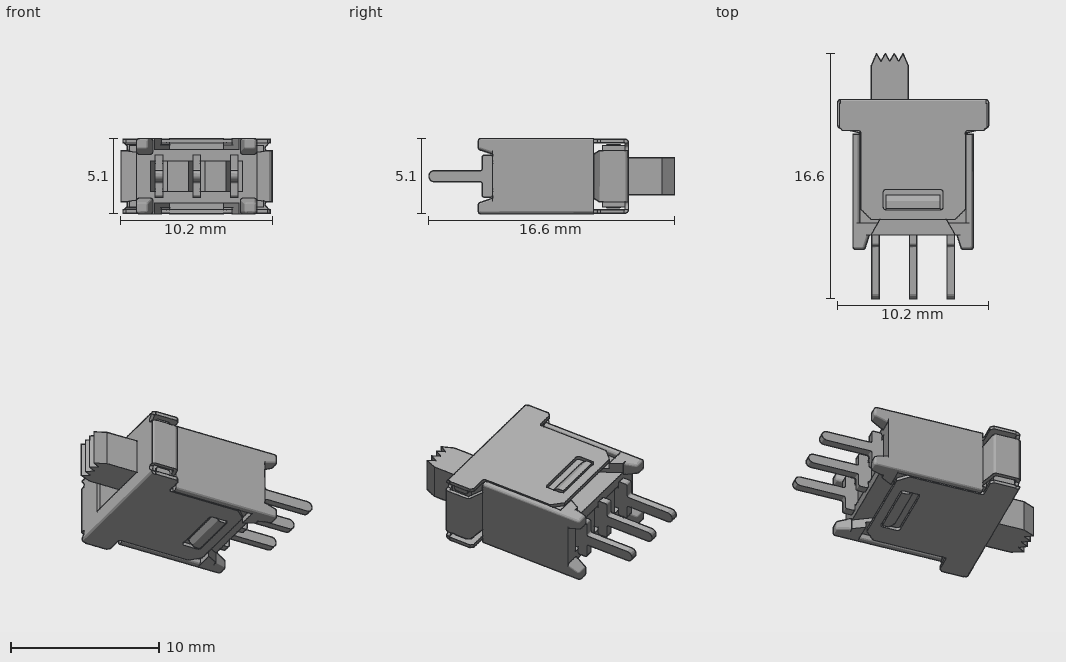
import cadquery as cq
import math

selection_margin = 0.02

sheet = 0.25
cover_half_height = 2.5
cover_inner_half_height = cover_half_height - sheet
wing_half_width = 4.96
wing_end_y = -2.1
wing_chamfer = 0.2
tongue_half_width = 3.53
tongue_end_y = -8.1
tongue_chamfer = 0.7
tongue_root_radius = 0.17
flap_half_width = 5.1
flap_half_height = 1.72
flap_bend_y = -1.72
flap_slope = math.radians(13)
flap_tip_x = 3.31
flap_tip_half_height = 1.5
relief_x = 4.82
relief_z = 1.89
relief_radius = 0.2
bend_half_width = 4.92
bend_trim_y = -0.3
window_half_width = 2.02
window_front_y = -6.07
window_rear_y = -7.45
window_radius = 0.2

lever_width = 2.5
lever_x = -1.57
lever_shoulder_y = 2.27
tooth_tip_y = 3.1
tooth_valley_y = 2.57
tooth_pitch = 0.6
tooth_count = 4
lever_inner_y = -1.52
lever_slot_half_width = lever_width / 2 - lever_x

housing_half_width = 4.05
housing_half_height = 2.55
housing_front_y = -2.35
housing_rear_y = -9.15
housing_fillet = 0.2
flange_half_width = 4.52
flange_half_height = 2.09
flange_rear_y = -1.77
neck_half_width = 3.23
neck_half_height = 1.49
pocket_half_width = 3.57
pocket_rear_y = -8.34
pocket_floor_z = 2.12
pocket_rim_radius = 0.2
channel_floor_z = 1.79
channel_rear_half_width = 2.85
latch_half_width = 1.82
latch_front_y = -6.45
latch_rear_y = -7.36
latch_fillet = 0.36
foot_tip_y = -10.13
foot_inner_x = 2.95
foot_inner_z = 1.47
foot_tip_inner_x = 3.26
foot_tip_inner_z = 1.8
groove_depth = 0.33
groove_half_width = 0.56
groove_half_height = 1.03
recess_depth = 0.1

pin_pitch = 2.53
pin_count = 3
pin_width = 0.51
pin_root_half_height = 0.86
pin_root_y = -7.5
pin_bar_half_height = 1.42
pin_bar_end_y = -9.86
pin_bar_fillet = 0.15
pin_leg_half_height = 0.38
pin_leg_fillet = 0.13
pin_tip_y = -13.45

bar_end_x = -4.68
bar_front_y = -0.51
bar_rear_y = -1.52
bar_inner_z = 1.69
bar_outer_z = 2.13
bar_fillet = 0.13


def block(x_range, y_range, z_range):
    """Box between the given limits."""
    spans = [limits[1] - limits[0] for limits in (x_range, y_range, z_range)]
    return cq.Workplane().box(*spans, centered=False).translate((x_range[0], y_range[0], z_range[0]))


def symmetric_block(half_width, y_range, half_height):
    """Box centred on X = 0 and Z = 0."""
    return block((-half_width, half_width), y_range, (-half_height, half_height))


def with_mirror(shape, plane):
    """The shape together with its mirror image."""
    return shape.union(shape.mirror(plane))


def xy_prism(points, z_range):
    """Closed XY outline raised between two heights."""
    outline = cq.Workplane("XY").workplane(offset=z_range[0]).polyline(points).close()
    return outline.extrude(z_range[1] - z_range[0])


def pin_positions():
    return [(index - (pin_count - 1) / 2) * pin_pitch for index in range(pin_count)]


def cover_plates():
    """Front plate with the top and bottom plates, each a tee with a chamfered tongue."""
    right_side = [
        (wing_half_width, 0),
        (wing_half_width, wing_end_y + wing_chamfer),
        (wing_half_width - wing_chamfer, wing_end_y),
        (tongue_half_width, wing_end_y),
        (tongue_half_width, tongue_end_y + tongue_chamfer),
        (tongue_half_width - tongue_chamfer, tongue_end_y),
    ]
    left_side = [(-x, y) for x, y in reversed(right_side)]
    plates = xy_prism(right_side + left_side, (-cover_half_height, cover_half_height))
    root = cq.selectors.BoxSelector(
        (-tongue_half_width - selection_margin, wing_end_y - selection_margin, -selection_margin),
        (tongue_half_width + selection_margin, wing_end_y + selection_margin, selection_margin),
    )
    plates = plates.edges("|Z").edges(root).fillet(tongue_root_radius)
    plates = plates.faces(">Y").edges("|X").fillet(sheet)
    inside = symmetric_block(wing_half_width, (tongue_end_y, -sheet), cover_inner_half_height)
    trim = block((bend_half_width, wing_half_width), (bend_trim_y, 0), (relief_z, cover_half_height))
    return plates.cut(inside).cut(with_mirror(with_mirror(trim, "YZ"), "XY"))


def side_flap():
    """Flap on the +X side: bent back from the front plate, then curled inward behind the flange."""
    bend_x = flap_half_width - sheet
    turn = math.pi / 2 - flap_slope
    bend_end = (bend_x + sheet * math.cos(turn), flap_bend_y - sheet * math.sin(turn))
    bend_middle = (bend_x + sheet * math.cos(turn / 2), flap_bend_y - sheet * math.sin(turn / 2))
    tip_y = bend_end[1] - (bend_end[0] - flap_tip_x) * math.tan(flap_slope)
    corner = sheet * math.sqrt(0.5)
    flap = (
        cq.Workplane("XY")
        .workplane(offset=-flap_half_height)
        .moveTo(flap_tip_x, 0)
        .lineTo(bend_x, 0)
        .threePointArc((bend_x + corner, corner - sheet), (flap_half_width, -sheet))
        .lineTo(flap_half_width, flap_bend_y)
        .threePointArc(bend_middle, bend_end)
        .lineTo(flap_tip_x, tip_y)
        .lineTo(flap_tip_x, tip_y + sheet / math.cos(flap_slope))
        .lineTo(bend_x, flap_bend_y)
        .lineTo(bend_x, -sheet)
        .lineTo(flap_tip_x, -sheet)
        .close()
        .extrude(2 * flap_half_height)
    )
    curl_envelope = (
        cq.Workplane("XZ")
        .polyline([
            (flap_half_width, -flap_half_height),
            (bend_x, -flap_half_height),
            (flap_tip_x, -flap_tip_half_height),
            (flap_tip_x, flap_tip_half_height),
            (bend_x, flap_half_height),
            (flap_half_width, flap_half_height),
        ])
        .close()
        .extrude(-tip_y)
    )
    return flap.intersect(curl_envelope)


def corner_relief():
    """Round-bottomed notch in the front plate at the +X, +Z corner, opening outward."""
    reach = relief_radius * math.sqrt(0.5)
    outside_x = flap_half_width + sheet
    outside_z = relief_z + reach + outside_x - (relief_x - reach)
    lower_z = flap_half_height
    wedge = (
        cq.Workplane("XZ")
        .polyline([
            (relief_x - reach, relief_z + reach),
            (outside_x, outside_z),
            (outside_x, lower_z),
            (relief_x, lower_z),
        ])
        .close()
        .extrude(sheet)
    )
    round_end = cq.Workplane("XZ").center(relief_x, relief_z).circle(relief_radius).extrude(sheet)
    room = block((0, outside_x), (-sheet, 0), (lower_z, cover_inner_half_height))
    return wedge.union(round_end).intersect(room)


def make_cover():
    cover = cover_plates().union(with_mirror(side_flap(), "YZ"))
    cover = cover.cut(with_mirror(with_mirror(corner_relief(), "YZ"), "XY"))
    lever_slot = symmetric_block(lever_slot_half_width, (-sheet, 0), lever_width / 2)
    window = symmetric_block(window_half_width, (window_rear_y, window_front_y), cover_half_height)
    return cover.cut(lever_slot).cut(window.edges("|Z").fillet(window_radius))


def make_lever():
    """Square lever with a row of grip teeth at its end."""
    half = lever_width / 2
    first_tip = -(tooth_count - 1) / 2 * tooth_pitch
    points = [(-half, lever_inner_y), (-half, lever_shoulder_y)]
    for index in range(tooth_count):
        tip = first_tip + index * tooth_pitch
        if index > 0:
            points.append((tip - tooth_pitch / 2, tooth_valley_y))
        points.append((tip, tooth_tip_y))
    points += [(half, lever_shoulder_y), (half, lever_inner_y)]
    return xy_prism(points, (-half, half)).translate((lever_x, 0, 0))


def make_upper_bar():
    """Rounded bar centred on the lever in X, set into the upper face of the flange."""
    far_end_x = 2 * lever_x - bar_end_x
    bar = block((bar_end_x, far_end_x), (bar_rear_y, bar_front_y), (bar_inner_z, bar_outer_z))
    return bar.edges("|X").fillet(bar_fillet)


def make_pin(x):
    """Flat pin: root in the housing, cross bar against the rear face and round-ended leg."""
    half = pin_width / 2
    bar = block((-half, half), (pin_bar_end_y, housing_rear_y), (-pin_bar_half_height, pin_bar_half_height))
    bar = bar.edges("|X").fillet(pin_bar_fillet)
    leg_end_y = pin_tip_y + pin_leg_half_height
    leg = block((-half, half), (leg_end_y, housing_rear_y), (-pin_leg_half_height, pin_leg_half_height))
    tip = cq.Workplane("YZ").center(leg_end_y, 0).circle(pin_leg_half_height).extrude(half, both=True)
    pin = bar.union(leg)
    junction = cq.selectors.BoxSelector(
        (-half, pin_bar_end_y - selection_margin, -pin_leg_half_height - selection_margin),
        (half, pin_bar_end_y + selection_margin, pin_leg_half_height + selection_margin),
    )
    pin = pin.edges("|X").edges(junction).fillet(pin_leg_fillet)
    root = block((-half, half), (pin_bar_end_y + pin_bar_fillet, pin_root_y),
                 (-pin_root_half_height, pin_root_half_height))
    return pin.union(tip).union(root).translate((x, 0, 0))


def housing_foot():
    """Tapered stand-off foot at the +X, +Z corner of the rear face."""
    taper_in_x = xy_prism(
        [
            (housing_half_width, housing_rear_y),
            (foot_inner_x, housing_rear_y),
            (foot_tip_inner_x, foot_tip_y),
            (housing_half_width, foot_tip_y),
        ],
        (foot_inner_z, housing_half_height),
    )
    taper_in_z = (
        cq.Workplane("YZ")
        .polyline([
            (housing_rear_y, housing_half_height),
            (housing_rear_y, foot_inner_z),
            (foot_tip_y, foot_tip_inner_z),
            (foot_tip_y, housing_half_height),
        ])
        .close()
        .extrude(housing_half_width)
    )
    foot = taper_in_x.intersect(taper_in_z)
    return foot.edges("not >Y").fillet(housing_fillet)


def top_recess():
    """Pocket under the cover tongue and the deeper channel that flares out to the rear face."""
    rim_x = pocket_half_width + pocket_rim_radius
    rim_z = housing_half_height - pocket_rim_radius
    rim_inset = pocket_rim_radius * (1 - math.sqrt(0.5))
    rim_middle = (pocket_half_width + rim_inset, housing_half_height - rim_inset)
    pocket = (
        cq.Workplane("XZ", origin=(0, housing_front_y, 0))
        .moveTo(-pocket_half_width, pocket_floor_z)
        .lineTo(pocket_half_width, pocket_floor_z)
        .lineTo(pocket_half_width, rim_z)
        .threePointArc(rim_middle, (rim_x, housing_half_height))
        .lineTo(-rim_x, housing_half_height)
        .threePointArc((-rim_middle[0], rim_middle[1]), (-pocket_half_width, rim_z))
        .close()
        .extrude(housing_front_y - pocket_rear_y)
    )
    channel = xy_prism(
        [
            (-channel_rear_half_width, housing_rear_y),
            (channel_rear_half_width, housing_rear_y),
            (latch_half_width, latch_rear_y),
            (-latch_half_width, latch_rear_y),
        ],
        (channel_floor_z, housing_half_height),
    )
    return pocket.union(channel)


def housing_latch():
    """Ramped latch on the pocket floor that fills the rear of the cover window."""
    rise = housing_half_height - pocket_floor_z
    latch = (
        cq.Workplane("YZ", origin=(-latch_half_width, 0, 0))
        .polyline([
            (latch_front_y, pocket_floor_z),
            (latch_front_y - rise, housing_half_height),
            (latch_rear_y, housing_half_height),
            (latch_rear_y, pocket_floor_z),
        ])
        .close()
        .extrude(2 * latch_half_width)
    )
    crest_y = latch_front_y - rise
    crest = cq.selectors.NearestToPointSelector((0, crest_y, housing_half_height))
    return latch.edges("|X").edges(crest).fillet(latch_fillet)


def pin_groove(x):
    """Vee groove in the rear face that narrows to the width of the pin."""
    mouth_y = housing_rear_y + recess_depth
    bottom_y = mouth_y + groove_depth
    groove = xy_prism(
        [
            (-groove_half_width, mouth_y),
            (groove_half_width, mouth_y),
            (pin_width / 2, bottom_y),
            (-pin_width / 2, bottom_y),
        ],
        (-groove_half_height, groove_half_height),
    )
    return groove.translate((x, 0, 0))


def make_housing(inner_bodies):
    """Moulded housing with matching cavities for the bodies set into it."""
    main = symmetric_block(housing_half_width, (housing_rear_y, housing_front_y), housing_half_height)
    main = main.edges("|Y").fillet(housing_fillet)
    main = main.cut(with_mirror(top_recess(), "XY"))
    main = main.union(with_mirror(housing_latch(), "XY"))
    main = main.union(with_mirror(with_mirror(housing_foot(), "YZ"), "XY"))
    neck = symmetric_block(neck_half_width, (housing_front_y, flange_rear_y), neck_half_height)
    flange = symmetric_block(flange_half_width, (flange_rear_y, -sheet), flange_half_height)
    housing = main.union(neck).union(flange)

    recess_half_width = pin_positions()[-1] + groove_half_width
    recess_y = (housing_rear_y, housing_rear_y + recess_depth)
    housing = housing.cut(symmetric_block(recess_half_width, recess_y, groove_half_height))
    for x in pin_positions():
        housing = housing.cut(pin_groove(x))
    for body in inner_bodies:
        housing = housing.cut(body)
    return housing


cover = make_cover()
lever = make_lever()
upper_bar = make_upper_bar()
bars = [upper_bar, upper_bar.mirror("XY")]
pins = [make_pin(x) for x in pin_positions()]
housing = make_housing([lever, *bars, *pins])

bodies = [housing, cover, lever, *bars, *pins]
result = cq.Compound.makeCompound([body.solids().val() for body in bodies])